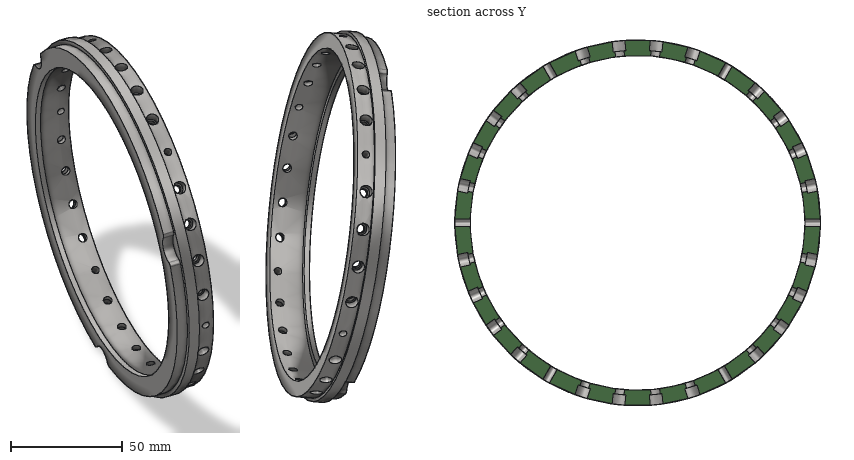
import cadquery as cq

flange_radius = 83.8
front_radius = 81.8
rear_radius = 82.3
bore_radius = 72.5
rear_bore_radius = 75.3

front_length = 5.0
flange_length = 5.0
rear_length = 7.7
bore_land_length = 2.5
flange_end = front_length + flange_length
total_length = flange_end + rear_length

notch_count = 3
first_notch_angle = 30.0
notch_radius = 6.7
notch_corner_radius = 2.0

hole_count = 30
plain_hole_interval = 5
plain_hole_diameter = 3.4
plain_hole_y = 13.9
stepped_hole_y = 13.4
stepped_hole_diameter = 3.9
counterbore_diameter = 5.5
counterbore_depth = 4.7
hole_start = bore_radius


def disc(radius, start, length):
    """Solid disc on the Y axis, from Y = start to start + length."""
    return cq.Workplane("XZ", origin=(0, start, 0)).circle(radius).extrude(-length)


def turn(shape, angle):
    """Turn a shape about the ring axis, from +X towards +Z."""
    return shape.rotate((0, 0, 0), (0, 1, 0), -angle)


def front_section():
    """Front rim with scallops whose outer corners are rounded."""
    section = disc(front_radius, 0, front_length)
    cutter = disc(notch_radius, 0, front_length).translate((flange_radius, 0, 0))
    for i in range(notch_count):
        section = section.cut(turn(cutter, first_notch_angle + i * 360 / notch_count))
    return section.edges("|Y").fillet(notch_corner_radius)


def radial_cylinder(diameter, y, inner_radius):
    """Cylinder pointing along +X from inner_radius to beyond the rim."""
    return (
        cq.Workplane("YZ", origin=(inner_radius, y, 0))
        .circle(diameter / 2)
        .extrude(flange_radius - inner_radius)
    )


def stepped_hole():
    """Through hole with a counterbore sunk from the rear rim."""
    through = radial_cylinder(stepped_hole_diameter, stepped_hole_y, hole_start)
    counterbore = radial_cylinder(counterbore_diameter, stepped_hole_y, rear_radius - counterbore_depth)
    return through.union(counterbore)


ring = front_section()
ring = ring.union(disc(flange_radius, front_length, flange_length))
ring = ring.union(disc(rear_radius, flange_end, rear_length))
ring = ring.cut(disc(bore_radius, 0, total_length))
ring = ring.cut(disc(rear_bore_radius, bore_land_length, total_length - bore_land_length))

plain_cutter = radial_cylinder(plain_hole_diameter, plain_hole_y, hole_start)
stepped_cutter = stepped_hole()
for i in range(hole_count):
    cutter = plain_cutter if i % plain_hole_interval == 0 else stepped_cutter
    ring = ring.cut(turn(cutter, i * 360 / hole_count))

result = ring